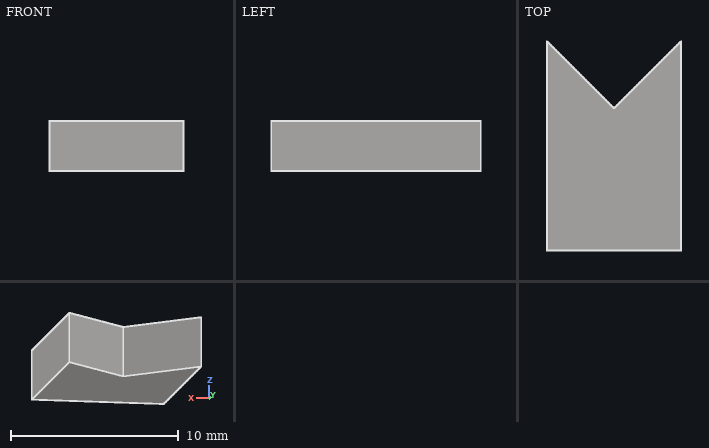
import cadquery as cq

width = 8.0
length = 12.5
thickness = 3.0

half_width = width / 2
notch_depth = half_width
front_y = -length / 2
back_y = length / 2

outline = [
    (-half_width, front_y),
    (half_width, front_y),
    (half_width, back_y),
    (0, back_y - notch_depth),
    (-half_width, back_y),
]

result = cq.Workplane("XY").polyline(outline).close().extrude(thickness)